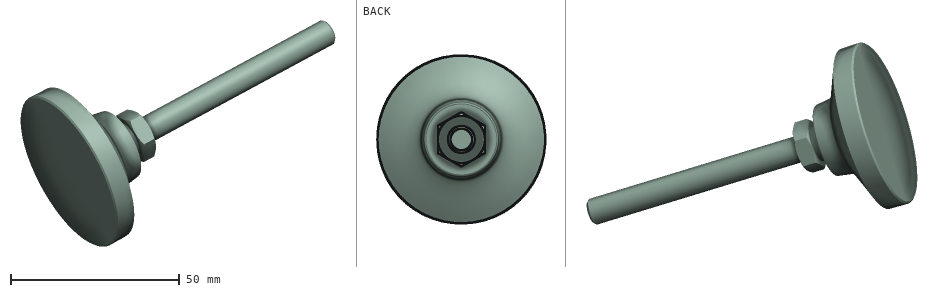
import cadquery as cq
import math


pad_diameter = 50.0
pad_wall_height = 6.45
pad_wall_draft_angle = 1.0
pad_bottom_chamfer = 0.5
shoulder_slope = 0.5
collar_height = 19.0
collar_top_diameter = 22.0
collar_draft_angle = 9.0
collar_root_round = 0.5
collar_rim_round = 0.5

neck_diameter = 11.0
neck_depth = 6.0
hex_bottom_height = 22.0
hex_height = 5.0
hex_across_flats = 14.0
hex_chamfer_angle = 30.0
rod_diameter = 8.0
rod_end_chamfer = 0.8
total_height = 95.0

pad_radius = pad_diameter / 2
pad_wall_draft = math.tan(math.radians(pad_wall_draft_angle))
pad_shoulder_radius = pad_radius - pad_wall_draft * (pad_wall_height - pad_bottom_chamfer)
collar_top_radius = collar_top_diameter / 2
collar_draft = math.tan(math.radians(collar_draft_angle))
shoulder_rise_to_collar_rim = shoulder_slope * (pad_shoulder_radius - collar_top_radius)
collar_root_height = (
    (pad_wall_height + shoulder_rise_to_collar_rim - shoulder_slope * collar_draft * collar_height)
    / (1 - shoulder_slope * collar_draft)
)
collar_root_radius = collar_top_radius + collar_draft * (collar_height - collar_root_height)
socket_floor = collar_height - neck_depth
hex_top_height = hex_bottom_height + hex_height
hex_across_corners = hex_across_flats / math.cos(math.pi / 6)


def cylinder(diameter, start, end):
    """Round bar along Y between two heights above the pad's underside."""
    plane = cq.Workplane("XZ", origin=(0, start, 0))
    return plane.circle(diameter / 2).extrude(start - end)


def revolve_about_y(profile):
    """Turn a closed radius-height outline around the Y axis."""
    return profile.revolve(360, (0, 0, 0), (0, 1, 0))


def round_circle(body, radius, height, round_size):
    """Round the circular edge of the given radius that lies at the given height."""
    margin = 0.01
    lower = (-radius - margin, height - margin, -radius - margin)
    upper = (radius + margin, height + margin, radius + margin)
    edges = body.edges(cq.selectors.BoxSelector(lower, upper, boundingbox=True))
    return edges.fillet(round_size)


def make_pad():
    """Solid pad with conical shoulder, drafted collar and a blind socket for the neck."""
    profile = cq.Workplane("XY").polyline([
        (0, 0),
        (pad_radius - pad_bottom_chamfer, 0),
        (pad_radius, pad_bottom_chamfer),
        (pad_shoulder_radius, pad_wall_height),
        (collar_root_radius, collar_root_height),
        (collar_top_radius, collar_height),
        (0, collar_height),
    ]).close()
    body = revolve_about_y(profile)
    body = round_circle(body, collar_root_radius, collar_root_height, collar_root_round)
    body = round_circle(body, collar_top_radius, collar_height, collar_rim_round)
    return body.cut(cylinder(neck_diameter, socket_floor, collar_height))


def make_hex():
    """Hexagon with flats facing X and corners turned off by a cone at both ends."""
    hexagon = (
        cq.Workplane("XZ", origin=(0, hex_bottom_height, 0))
        .transformed(rotate=(0, 0, 90))
        .polygon(6, hex_across_corners)
        .extrude(-hex_height)
    )
    face_radius = hex_across_flats / 2
    corner_radius = hex_across_corners / 2
    corner_drop = (corner_radius - face_radius) * math.tan(math.radians(hex_chamfer_angle))
    envelope = revolve_about_y(
        cq.Workplane("XY").polyline([
            (0, hex_bottom_height),
            (face_radius, hex_bottom_height),
            (corner_radius, hex_bottom_height + corner_drop),
            (corner_radius, hex_top_height - corner_drop),
            (face_radius, hex_top_height),
            (0, hex_top_height),
        ]).close()
    )
    return hexagon.intersect(envelope)


def make_spindle():
    """Neck, hexagon and rod in one piece."""
    neck = cylinder(neck_diameter, socket_floor, hex_bottom_height)
    rod = cylinder(rod_diameter, hex_top_height, total_height).faces(">Y").chamfer(rod_end_chamfer)
    return neck.union(make_hex()).union(rod)


pad = make_pad()
spindle = make_spindle()

result = cq.Compound.makeCompound([pad.val(), spindle.val()])